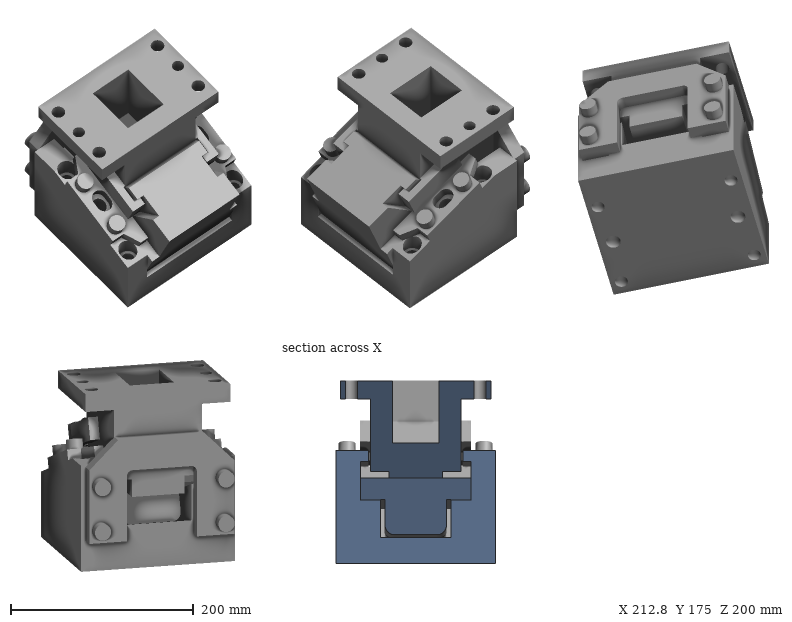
import cadquery as cq
import math

GUIDE_ANGLE = 20.0
DRIVE_ANGLE = 40.0
GUIDE_TAN = math.tan(math.radians(GUIDE_ANGLE))
GUIDE_COS = math.cos(math.radians(GUIDE_ANGLE))
GUIDE_SIN = math.sin(math.radians(GUIDE_ANGLE))
DRIVE_TAN = math.tan(math.radians(DRIVE_ANGLE))
GUIDE_NORMAL = (GUIDE_SIN, 0, GUIDE_COS)
SIDES = (-1, 1)
CLEAR = 212.8

BASE_LENGTH = 160.0
BASE_WIDTH = 175.0
BASE_HEIGHT = 119.6
SEAT_START = 34.3
GUIDE_HALF_WIDTH = 60.0
SEAT_ORIGIN = (SEAT_START, BASE_HEIGHT)
LEDGE_DROP = 41.5
CHANNEL_HALF_WIDTH = 38.0
CHANNEL_DROP = 41.0
CHANNEL_END = 85.3

MOUNT_Y = 75.0
MOUNT_DIAMETER = 14.3
MOUNT_BORE_DIAMETER = 20.9
MOUNT_HOLES = ((39.8, 98.0), (144.7, 63.8))

KEEPER_LENGTH = 120.5
KEEPER_THICKNESS = 12.0
KEEPER_INNER_Y = 51.5
KEEPER_END_Y = 62.0
KEEPER_BEVEL_Y = 72.0
KEEPER_BEVEL_LENGTH = 18.7
BOLT_DIAMETER = 18.3
BOLT_HEIGHT = 11.7
KEEPER_BOLT_Y = MOUNT_Y
KEEPER_BOLT_PLACES = (31.5, 89.5)
ACCESS_X = 89.8
ACCESS_Y = 70.2
ACCESS_DIAMETER = 16.2
KEEPER_SLOT_PLACE = 58.0
KEEPER_SLOT_Y = 68.5
KEEPER_SLOT_WIDTH = BOLT_DIAMETER
KEEPER_SLOT_LENGTH = 25.5

PLATE_THICKNESS = 15.3
PLATE_WIDTH = 165.0
PLATE_BOTTOM = 35.0
PLATE_TOP = 149.8
PLATE_TOP_HALF_WIDTH = 49.8
PLATE_SHOULDER = 118.0
WINDOW_HALF_WIDTH = 39.8
WINDOW_TOP = 114.7
WINDOW_RADIUS = 6.5
RELIEF_DEPTH = 1.7
RELIEF_HALF_WIDTH = 52.5
PLATE_BOLT_Y = ACCESS_Y
PLATE_BOLT_LEVELS = (49.8, 100.0)

SLIDE_TOP_X = 116.0
SLIDE_TOP_Z = 143.2
SLIDE_TOP_LENGTH = 74.3
SLIDE_HALF_WIDTH = PLATE_TOP_HALF_WIDTH
WING_NOSE_X = 42.5
TONGUE_NOSE_X = 38.3
TONGUE_HALF_WIDTH = 34.0
TONGUE_RADIUS = 10.6
TONGUE_CLEARANCE = 2.5
SLOT_DEPTH = 8.5
SLOT_START = 16.0
SLOT_LENGTH = 28.5
SLOT_WALL_X = 105.5

DRIVER_LENGTH = 109.8
DRIVER_TOP = 200.0
DRIVER_HALF_WIDTH = PLATE_TOP_HALF_WIDTH
FLANGE_WIDTH = PLATE_WIDTH
FLANGE_THICKNESS = 20.0
NOSE_HALF_WIDTH = 29.8
NOSE_BOTTOM = 80.5
SHOULDER_BOTTOM = 100.5
POCKET_START = 24.3
POCKET_END = 85.0
POCKET_WIDTH = 50.2
POCKET_FLOOR_THICKNESS = 38.3
FLANGE_HOLES = ((19.8, 15.0), (55.0, 13.5), (ACCESS_X, 15.0))
FLANGE_HOLE_Y = ACCESS_Y

HOOK_LENGTH = 75.3
HOOK_THICKNESS = 25.1
HOOK_CORNER_X = 65.8
HOOK_CORNER_Z = 156.5
HOOK_OUTER_Y = 60.9
HOOK_INNER_Y = 52.4
TOOTH_INNER_Y = 44.0
TOOTH_TOP = 8.0
TOOTH_SLOPE_RUN = 11.0


def seat_z(x):
    return BASE_HEIGHT - (x - SEAT_START) * GUIDE_TAN


def ledge_z(x):
    return seat_z(x) - LEDGE_DROP


def drive_z(x):
    return SLIDE_TOP_Z - (SLIDE_TOP_X - x) * DRIVE_TAN


def drive_x(z):
    return SLIDE_TOP_X - (SLIDE_TOP_Z - z) / DRIVE_TAN


def along(point, distance, drop=0.0):
    """Point moved down the guide direction and then square below it."""
    return (
        point[0] + distance * GUIDE_COS - drop * GUIDE_SIN,
        point[1] - distance * GUIDE_SIN - drop * GUIDE_COS,
    )


def seat_crossing(point):
    """Point where a drive slope through the given point meets the keeper seat."""
    x = point[0] - (point[1] - seat_z(point[0])) / (DRIVE_TAN + GUIDE_TAN)
    return x, seat_z(x)


def profile(points, y_from, y_to):
    """Prism of an XZ outline between two Y positions."""
    low, high = sorted((y_from, y_to))
    return cq.Workplane("XZ", origin=(0, low, 0)).polyline(points).close().extrude(low - high)


def cylinder(start, direction, diameter, length):
    plane = cq.Plane(origin=start, normal=direction)
    return cq.Workplane(plane).circle(diameter / 2).extrude(length)


def base_block():
    outline = [
        (0, 0),
        (BASE_LENGTH, 0),
        (BASE_LENGTH, seat_z(BASE_LENGTH)),
        SEAT_ORIGIN,
        (0, BASE_HEIGHT),
    ]
    return profile(outline, -BASE_WIDTH / 2, BASE_WIDTH / 2)


def guide_channel():
    upper = [
        (0, ledge_z(0)),
        (BASE_LENGTH, ledge_z(BASE_LENGTH)),
        (BASE_LENGTH, CLEAR),
        (0, CLEAR),
    ]
    ledge_end = (CHANNEL_END, ledge_z(CHANNEL_END))
    lower = [
        (0, ledge_z(0)),
        (0, ledge_z(0) - CHANNEL_DROP),
        along(ledge_end, 0, CHANNEL_DROP * GUIDE_COS),
        ledge_end,
    ]
    wide = profile(upper, -GUIDE_HALF_WIDTH, GUIDE_HALF_WIDTH)
    return wide.union(profile(lower, -CHANNEL_HALF_WIDTH, CHANNEL_HALF_WIDTH))


def seat_plane():
    """Plane of the keeper seat, its x axis running down the guide."""
    origin = (SEAT_START, 0, BASE_HEIGHT)
    return cq.Plane(origin=origin, xDir=(GUIDE_COS, 0, -GUIDE_SIN), normal=GUIDE_NORMAL)


def keeper(side):
    middle_end = KEEPER_LENGTH - KEEPER_BEVEL_LENGTH
    outline = [
        (0, KEEPER_INNER_Y),
        (0, KEEPER_END_Y),
        (KEEPER_BEVEL_LENGTH, KEEPER_BEVEL_Y),
        (KEEPER_BEVEL_LENGTH, BASE_WIDTH / 2),
        (middle_end, BASE_WIDTH / 2),
        (middle_end, KEEPER_BEVEL_Y),
        (KEEPER_LENGTH, KEEPER_END_Y),
        (KEEPER_LENGTH, KEEPER_INNER_Y),
    ]
    points = [(x, side * y) for x, y in outline]
    return cq.Workplane(seat_plane()).polyline(points).close().extrude(KEEPER_THICKNESS)


def keeper_bolt(place, side):
    x, z = along(SEAT_ORIGIN, place)
    height = KEEPER_THICKNESS + BOLT_HEIGHT
    return cylinder((x, side * KEEPER_BOLT_Y, z), GUIDE_NORMAL, BOLT_DIAMETER, height)


def keeper_slot(side):
    return (
        cq.Workplane(seat_plane())
        .center(KEEPER_SLOT_PLACE, side * KEEPER_SLOT_Y)
        .slot2D(KEEPER_SLOT_LENGTH, KEEPER_SLOT_WIDTH)
        .extrude(KEEPER_THICKNESS)
    )


def access_hole(side):
    return cylinder((ACCESS_X, side * ACCESS_Y, 0), (0, 0, 1), ACCESS_DIAMETER, BASE_HEIGHT)


def mounting_hole(x, side, bore_floor):
    y = side * MOUNT_Y
    hole = cylinder((x, y, 0), (0, 0, 1), MOUNT_DIAMETER, CLEAR)
    return hole.union(cylinder((x, y, bore_floor), (0, 0, 1), MOUNT_BORE_DIAMETER, CLEAR))


def stop_plate():
    half = PLATE_WIDTH / 2
    outline = [
        (-half, PLATE_BOTTOM),
        (half, PLATE_BOTTOM),
        (half, PLATE_SHOULDER),
        (PLATE_TOP_HALF_WIDTH, PLATE_TOP),
        (-PLATE_TOP_HALF_WIDTH, PLATE_TOP),
        (-half, PLATE_SHOULDER),
    ]
    plane = cq.Workplane("YZ", origin=(-PLATE_THICKNESS, 0, 0))
    plate = plane.polyline(outline).close().extrude(PLATE_THICKNESS)
    window = (
        cq.Workplane("XY")
        .box(PLATE_THICKNESS, 2 * WINDOW_HALF_WIDTH, WINDOW_TOP, centered=(False, True, False))
        .edges("|X and >Z")
        .fillet(WINDOW_RADIUS)
        .translate((-PLATE_THICKNESS, 0, 0))
    )
    relief = (
        cq.Workplane("XY")
        .box(RELIEF_DEPTH, 2 * RELIEF_HALF_WIDTH, PLATE_TOP, centered=(False, True, False))
        .translate((-RELIEF_DEPTH, 0, 0))
    )
    return plate.cut(window).cut(relief)


def plate_bolt(side, level):
    length = PLATE_THICKNESS + BOLT_HEIGHT
    return cylinder((0, side * PLATE_BOLT_Y, level), (-1, 0, 0), BOLT_DIAMETER, length)


def make_base():
    base = base_block().cut(guide_channel()).union(stop_plate())
    for side in SIDES:
        base = base.cut(access_hole(side))
        for x, bore_floor in MOUNT_HOLES:
            base = base.cut(mounting_hole(x, side, bore_floor))
    for side in SIDES:
        base = base.union(keeper(side).cut(keeper_slot(side)))
        for place in KEEPER_BOLT_PLACES:
            base = base.union(keeper_bolt(place, side))
        for level in PLATE_BOLT_LEVELS:
            base = base.union(plate_bolt(side, level))
    return base


CREST = (SLIDE_TOP_X, SLIDE_TOP_Z)
HEEL = along(CREST, SLIDE_TOP_LENGTH)


def heel_x(line_z):
    """X where the end face, square to the guide, crosses a line along the guide."""
    drop = (HEEL[1] - line_z(HEEL[0])) * GUIDE_COS
    return HEEL[0] - drop * GUIDE_SIN


def slide_body():
    ledge_end = heel_x(ledge_z)
    outline = [
        CREST,
        HEEL,
        (ledge_end, ledge_z(ledge_end)),
        (WING_NOSE_X, ledge_z(WING_NOSE_X)),
        (WING_NOSE_X, drive_z(WING_NOSE_X)),
    ]
    return profile(outline, -SLIDE_HALF_WIDTH, SLIDE_HALF_WIDTH)


def slide_flange():
    top_end = heel_x(seat_z)
    ledge_end = heel_x(ledge_z)
    outline = [
        seat_crossing(CREST),
        (top_end, seat_z(top_end)),
        (ledge_end, ledge_z(ledge_end)),
        (WING_NOSE_X, ledge_z(WING_NOSE_X)),
        (WING_NOSE_X, drive_z(WING_NOSE_X)),
    ]
    return profile(outline, -GUIDE_HALF_WIDTH, GUIDE_HALF_WIDTH)


def slide_tongue():
    nose = (TONGUE_NOSE_X, drive_z(TONGUE_NOSE_X))
    floor_depth = (nose[1] - ledge_z(nose[0]) + CHANNEL_DROP) * GUIDE_COS - TONGUE_CLEARANCE
    ledge_end = (CHANNEL_END, ledge_z(CHANNEL_END))
    floor_start = along(nose, 0, floor_depth)
    floor_end = along(ledge_end, 0, CHANNEL_DROP * GUIDE_COS - TONGUE_CLEARANCE)
    outline = [
        nose,
        floor_start,
        floor_end,
        ledge_end,
        (WING_NOSE_X, drive_z(WING_NOSE_X)),
    ]
    tongue = profile(outline, -TONGUE_HALF_WIDTH, TONGUE_HALF_WIDTH)
    floor_middle = (floor_start[0] + floor_end[0]) / 2, 0, (floor_start[1] + floor_end[1]) / 2
    return tongue.faces(cq.NearestToPointSelector(floor_middle)).edges("not |Y").fillet(TONGUE_RADIUS)


def hook_slot(side):
    """Slot along the drive direction in one side of the slide."""
    near = along(CREST, SLOT_START)
    far = along(CREST, SLOT_START + SLOT_LENGTH)
    outline = [
        near,
        far,
        seat_crossing(far),
        (SLOT_WALL_X, seat_z(SLOT_WALL_X)),
        (SLOT_WALL_X, near[1] - (near[0] - SLOT_WALL_X) * DRIVE_TAN),
    ]
    outer = side * SLIDE_HALF_WIDTH
    return profile(outline, outer - side * SLOT_DEPTH, outer)


def make_slide():
    slide = slide_body().union(slide_flange()).union(slide_tongue())
    for side in SIDES:
        slide = slide.cut(hook_slot(side))
    return slide


def driver_profile(bottom, half_width):
    outline = [
        (0, bottom),
        (drive_x(bottom), bottom),
        (DRIVER_LENGTH, drive_z(DRIVER_LENGTH)),
        (DRIVER_LENGTH, DRIVER_TOP),
        (0, DRIVER_TOP),
    ]
    return profile(outline, -half_width, half_width)


def driver_flange():
    bottom = DRIVER_TOP - FLANGE_THICKNESS
    size = (DRIVER_LENGTH, FLANGE_WIDTH, FLANGE_THICKNESS)
    flange = cq.Workplane("XY").box(*size, centered=(False, True, False)).translate((0, 0, bottom))
    for x, diameter in FLANGE_HOLES:
        for side in SIDES:
            start = (x, side * FLANGE_HOLE_Y, bottom)
            flange = flange.cut(cylinder(start, (0, 0, 1), diameter, FLANGE_THICKNESS))
    return flange


def driver_pocket():
    """Blind pocket whose floor runs parallel to the driver underside."""
    floor = NOSE_BOTTOM + POCKET_FLOOR_THICKNESS
    outline = [
        (POCKET_START, floor),
        (drive_x(NOSE_BOTTOM), floor),
        (POCKET_END, drive_z(POCKET_END) + POCKET_FLOOR_THICKNESS),
        (POCKET_END, DRIVER_TOP),
        (POCKET_START, DRIVER_TOP),
    ]
    return profile(outline, -POCKET_WIDTH / 2, POCKET_WIDTH / 2)


def return_hook(side):
    corner = (HOOK_CORNER_X, HOOK_CORNER_Z)
    end = along(corner, HOOK_LENGTH)
    heel = along(corner, HOOK_LENGTH, HOOK_THICKNESS)
    toe = along(corner, 0, HOOK_THICKNESS)
    plate = profile([corner, end, heel, toe], side * HOOK_INNER_Y, side * HOOK_OUTER_Y)

    beyond_slope = [
        (0, drive_z(0)),
        (CLEAR, drive_z(CLEAR)),
        (CLEAR, 0),
        (0, 0),
    ]
    beyond_face = [
        (DRIVER_LENGTH, 0),
        (CLEAR, 0),
        (CLEAR, CLEAR),
        (DRIVER_LENGTH, CLEAR),
    ]
    pad = profile([corner, end, heel, toe], side * DRIVER_HALF_WIDTH, side * HOOK_INNER_Y)
    for outline in (beyond_slope, beyond_face):
        pad = pad.cut(profile(outline, -HOOK_OUTER_Y, HOOK_OUTER_Y))

    tooth_start = along(corner, HOOK_LENGTH - TOOTH_TOP)
    tooth_low = (tooth_start[0] - TOOTH_SLOPE_RUN, tooth_start[1] - TOOTH_SLOPE_RUN * DRIVE_TAN)
    below_top = (corner[1] - tooth_low[1]) * GUIDE_COS - (tooth_low[0] - corner[0]) * GUIDE_SIN
    tooth_toe = along(tooth_low, 0, HOOK_THICKNESS - below_top)
    tooth_outline = [tooth_start, end, heel, tooth_toe, tooth_low]
    tooth = profile(tooth_outline, side * TOOTH_INNER_Y, side * HOOK_INNER_Y)
    return plate.union(pad).union(tooth)


def make_driver():
    driver = driver_profile(SHOULDER_BOTTOM, DRIVER_HALF_WIDTH)
    driver = driver.union(driver_profile(NOSE_BOTTOM, NOSE_HALF_WIDTH))
    driver = driver.union(driver_flange()).cut(driver_pocket())
    for side in SIDES:
        driver = driver.union(return_hook(side))
    return driver


base = make_base()
slide = make_slide()
driver = make_driver()

result = cq.Compound.makeCompound([base.val(), slide.val(), driver.val()])